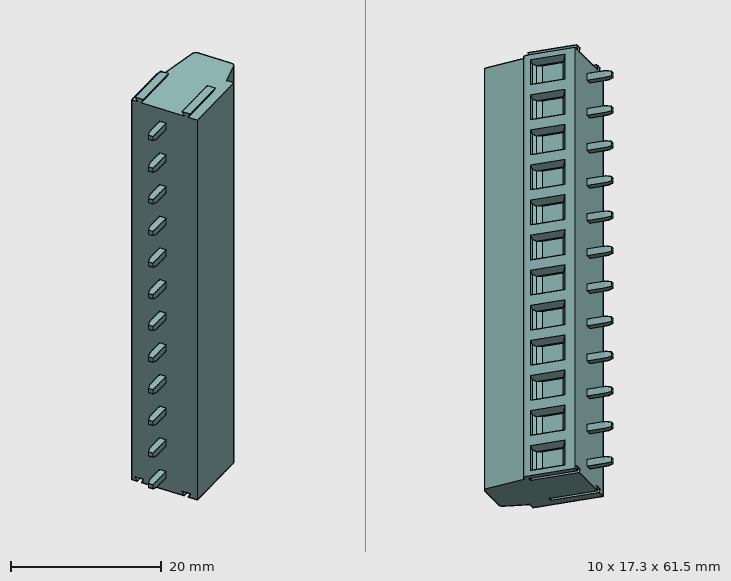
import cadquery as cq


OVERALL_LENGTH = 61.55
POLE_COUNT = 12
BODY_LENGTH = 60.95
POLE_PITCH = BODY_LENGTH / POLE_COUNT

BODY_WIDTH = 10.0
BODY_DEPTH = 13.9
WIRE_SHOULDER_DEPTH = 7.6
WIRE_SHOULDER_WIDTH = 0.8
WIRE_SHOULDER_RADIUS = 0.6
BACK_SHOULDER_DEPTH = 10.05
BACK_SHOULDER_WIDTH = 1.1
RIDGE_START = 1.9
RIDGE_END = 7.95
RIDGE_RADIUS = 0.6

ENTRY_LOW = 1.5
ENTRY_HIGH = 6.4
ENTRY_HEIGHT = 3.6
ENTRY_DEPTH = 1.4
ENTRY_FLOOR_LOW = 2.3
ENTRY_FLOOR_HIGH = 5.25
LEDGE_Y = 6.0
LEDGE_DEPTH = 1.1
STRAIGHT_WALL_DEPTH = 0.7
THROAT_HEIGHT = 2.6
FUNNEL_DEPTH = 1.1

PIN_X = 4.75
PIN_SIDE = 1.0
PIN_LENGTH = 3.4
PIN_TIP_LENGTH = 0.75
PIN_TIP_SIDE = 0.7

RIB_HEIGHT = OVERALL_LENGTH - BODY_LENGTH
RIB_REACH = 6.95
RIB_CENTERS = (1.2, 8.25)
RIB_ROOT_WIDTH = 0.6
RIB_CREST_WIDTH = 1.25


def housing():
    """Stepped section with a tapered ridge, extruded along the row."""
    section = [
        (0, 0),
        (BODY_WIDTH, 0),
        (BODY_WIDTH, BACK_SHOULDER_DEPTH),
        (BODY_WIDTH - BACK_SHOULDER_WIDTH, BACK_SHOULDER_DEPTH),
        (RIDGE_END, BODY_DEPTH),
        (RIDGE_START, BODY_DEPTH),
        (WIRE_SHOULDER_WIDTH, WIRE_SHOULDER_DEPTH),
        (0, WIRE_SHOULDER_DEPTH),
    ]
    block = cq.Workplane("XY").polyline(section).close().extrude(BODY_LENGTH)
    block = block.edges("|Z and >Y").fillet(RIDGE_RADIUS)
    wire_shoulder_edge = cq.selectors.NearestToPointSelector((0, WIRE_SHOULDER_DEPTH, BODY_LENGTH / 2))
    return block.edges(wire_shoulder_edge).fillet(WIRE_SHOULDER_RADIUS)


def wire_entry(pole_z):
    """Pocket with a sloped low wall and a two-step high wall, narrowed in Z by a funnel."""
    lengthwise_section = [
        (0, ENTRY_LOW),
        (ENTRY_DEPTH, ENTRY_FLOOR_LOW),
        (ENTRY_DEPTH, ENTRY_FLOOR_HIGH),
        (LEDGE_DEPTH, LEDGE_Y),
        (STRAIGHT_WALL_DEPTH, ENTRY_HIGH),
        (0, ENTRY_HIGH),
    ]
    funnel_section = [
        (0, -ENTRY_HEIGHT / 2),
        (FUNNEL_DEPTH, -THROAT_HEIGHT / 2),
        (ENTRY_DEPTH, -THROAT_HEIGHT / 2),
        (ENTRY_DEPTH, THROAT_HEIGHT / 2),
        (FUNNEL_DEPTH, THROAT_HEIGHT / 2),
        (0, ENTRY_HEIGHT / 2),
    ]
    pocket = (
        cq.Workplane("XY", origin=(0, 0, pole_z))
        .polyline(lengthwise_section)
        .close()
        .extrude(ENTRY_HEIGHT / 2, both=True)
    )
    funnel = (
        cq.Workplane("XZ", origin=(0, 0, pole_z))
        .polyline(funnel_section)
        .close()
        .extrude(-ENTRY_HIGH)
    )
    return pocket.intersect(funnel)


def solder_pin(pole_z):
    """Square pin with a tapered tip, pointing towards -Y."""
    return (
        cq.Workplane("XZ", origin=(PIN_X, 0, pole_z))
        .rect(PIN_SIDE, PIN_SIDE)
        .extrude(PIN_LENGTH - PIN_TIP_LENGTH)
        .faces("<Y")
        .workplane()
        .rect(PIN_SIDE, PIN_SIDE)
        .workplane(offset=PIN_TIP_LENGTH)
        .rect(PIN_TIP_SIDE, PIN_TIP_SIDE)
        .loft(ruled=True)
    )


def dovetail(center_x, base_z):
    """Dovetail bar rising from base_z, widest at its crest."""
    root = RIB_ROOT_WIDTH / 2
    crest = RIB_CREST_WIDTH / 2
    section = [(-root, 0), (root, 0), (crest, RIB_HEIGHT), (-crest, RIB_HEIGHT)]
    return cq.Workplane("XZ", origin=(center_x, 0, base_z)).polyline(section).close().extrude(-RIB_REACH)


result = housing()

for rib_x in RIB_CENTERS:
    result = result.union(dovetail(rib_x, BODY_LENGTH))
    result = result.cut(dovetail(rib_x, 0))

for pole in range(POLE_COUNT):
    pole_center = (pole + 0.5) * POLE_PITCH
    result = result.cut(wire_entry(pole_center)).union(solder_pin(pole_center))